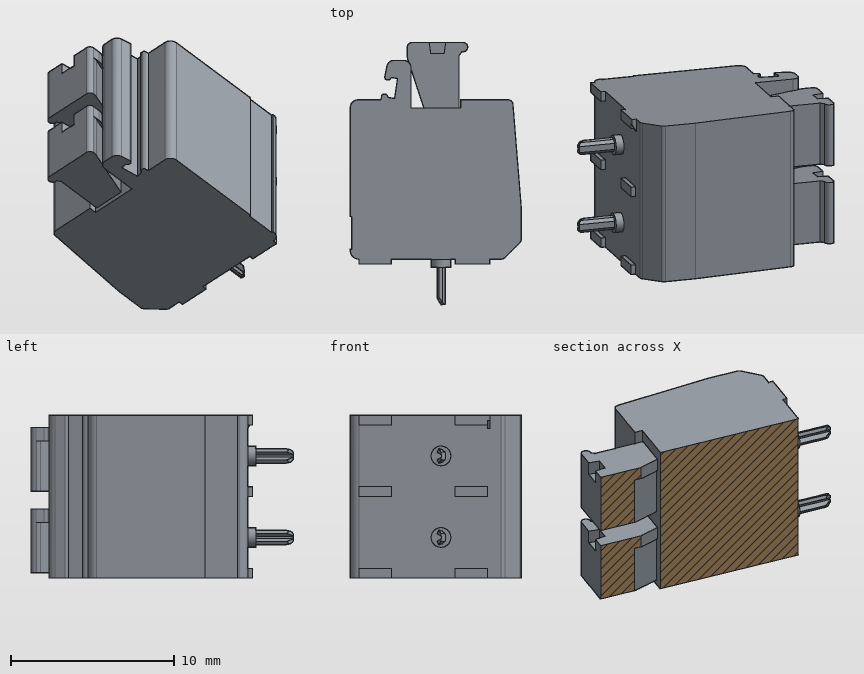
import cadquery as cq
import math


SMALLEST_GAP = 0.0002

POLES = 2
HEIGHT = 10.0
PITCH = HEIGHT / POLES
WIDTH = 10.5
BODY_BACK = 9.79

BACK_LEFT_RADIUS = 0.5
FRONT_LEFT_RADIUS = 0.55
BACK_RIGHT_RADIUS = 0.32
SLOPE_TOP_X = 9.97
SLOPE_BOTTOM_Y = 3.17
CHAMFER = 1.11
CHAMFER_RADIUS = 0.32
RECESS_DEPTH = 0.1
RECESS_START = 0.63
RECESS_END = 2.62
POCKET_LEFT = 3.74
POCKET_RIGHT = 6.78
POCKET_FLOOR = 9.29

HOOK_TOP = 12.2
HOOK_RADIUS = 0.47

FOOT_LENGTH = 2.0
FOOT_DEPTH = 0.29
FOOT_HEIGHT = 0.61
FOOT_STARTS = (0.53, 6.44)
FOOT_LEVELS = (0, PITCH, HEIGHT - FOOT_HEIGHT)
SLIVER_WIDTH = 0.13
SLIVER_HEIGHT = 0.8
SLIVER_FULL_HEIGHT = 0.32

LEVER_BOTTOM = 0.32
LEVER_HEIGHT = 3.93
LEVER_TOP = 13.3
LEVER_LEFT = 3.5
LEVER_RIGHT = 6.68
LEVER_CORNER_RADIUS = 0.3
LEVER_TOE_X = 4.5
LEVER_BEND_Y = 12.36
LEVER_BEND_RADIUS = 0.8
LEVER_STEP_HEIGHT = 0.84
LEVER_LOWER_TOE_X = 4.65
LEVER_LOWER_BEND_Y = 12.83
LIP_RADIUS = 0.29
LIP_END = 7.21
LIP_NECK_X = 6.86
LIP_NECK_DROP = 0.23
NOTCH_LEFT = 4.85
NOTCH_WIDTH = 1.01
NOTCH_DEPTH = 0.68
NOTCH_TAPER = 0.1

PIN_X = 5.57
PIN_LENGTH = 2.8
COLLAR_DIAMETER = 1.2
COLLAR_LENGTH = 0.5
PIN_LEFT = -0.24
PIN_RIGHT = 0.27
PIN_HALF_HEIGHT = 0.45
TIP_SLANT_LENGTH = 0.42
TIP_RIGHT_SETBACK = 0.05
TIP_TAPER_START = 0.47
TIP_TAPER_BREAK = 0.18
TIP_BREAK_HALF_HEIGHT = 0.39
TIP_HALF_HEIGHT = 0.23


def rounded_outline(corners):
    """Closed outline through (x, y, radius) corners; radius 0 keeps a corner sharp."""
    stretches = []
    for i, (x, y, radius) in enumerate(corners):
        here = cq.Vector(x, y)
        if radius == 0:
            stretches.append((here,))
            continue
        before = cq.Vector(*corners[i - 1][:2])
        after = cq.Vector(*corners[(i + 1) % len(corners)][:2])
        back = (before - here).normalized()
        ahead = (after - here).normalized()
        half_angle = back.getAngle(ahead) / 2
        tangent = radius / math.tan(half_angle)
        bulge = radius / math.sin(half_angle) - radius
        middle = here + (back + ahead).normalized() * bulge
        stretches.append((here + back * tangent, middle, here + ahead * tangent))

    reached = stretches[0][0]
    outline = cq.Workplane("XY").moveTo(reached.x, reached.y)
    for stretch in stretches:
        start = stretch[0]
        if (start - reached).Length > SMALLEST_GAP:
            outline = outline.lineTo(start.x, start.y)
        if len(stretch) > 1:
            outline = outline.threePointArc(stretch[1].toTuple()[:2], stretch[2].toTuple()[:2])
        reached = stretch[-1]
    return outline.close()


def make_housing():
    """Body with the open lever pocket and the latch hook, constant along Z."""
    hook = [
        (1.88, BODY_BACK, 0),
        (1.95, 10.13, 0.11),
        (2.24, 10.13, 0.11),
        (2.33, 9.93, 0),
        (2.72, 9.87, 0),
        (2.9, 11.08, 0),
        (2.53, 11.14, 0),
        (2.43, 11.0, 0.08),
        (2.08, 11.0, 0.18),
        (2.32, HOOK_TOP, HOOK_RADIUS),
        (POCKET_LEFT, HOOK_TOP, HOOK_RADIUS),
    ]
    outline = [
        (0, 0, FRONT_LEFT_RADIUS),
        (0, RECESS_START, 0),
        (RECESS_DEPTH, RECESS_START, 0),
        (RECESS_DEPTH, RECESS_END, 0),
        (0, RECESS_END, 0),
        (0, BODY_BACK, BACK_LEFT_RADIUS),
        *hook,
        (POCKET_LEFT, POCKET_FLOOR, 0),
        (POCKET_RIGHT, POCKET_FLOOR, 0),
        (POCKET_RIGHT, BODY_BACK, 0),
        (SLOPE_TOP_X, BODY_BACK, BACK_RIGHT_RADIUS),
        (WIDTH, SLOPE_BOTTOM_Y, 0),
        (WIDTH, CHAMFER, CHAMFER_RADIUS),
        (WIDTH - CHAMFER, 0, CHAMFER_RADIUS),
    ]
    return rounded_outline(outline).extrude(HEIGHT)


def make_feet():
    """Two columns of stand-off feet, the top right one with a tapered sliver at its end."""
    block = cq.Workplane("XY").box(FOOT_LENGTH, FOOT_DEPTH, FOOT_HEIGHT, centered=False)
    feet = [block.translate((x, -FOOT_DEPTH, z)) for x in FOOT_STARTS for z in FOOT_LEVELS]
    sliver = (
        cq.Workplane("YZ", origin=(FOOT_STARTS[-1] + FOOT_LENGTH, 0, HEIGHT))
        .moveTo(0, 0)
        .lineTo(-FOOT_DEPTH, 0)
        .lineTo(-FOOT_DEPTH, -SLIVER_FULL_HEIGHT)
        .lineTo(0, -SLIVER_HEIGHT)
        .close()
        .extrude(SLIVER_WIDTH)
    )
    return feet + [sliver]


def lever_layer(bend_y, toe_x, height):
    """Lever slice whose left side leaves the vertical at bend_y and slants to toe_x."""
    lip_bottom = LEVER_TOP - 2 * LIP_RADIUS
    return rounded_outline([
        (LEVER_LEFT, LEVER_TOP, LEVER_CORNER_RADIUS),
        (LIP_END, LEVER_TOP, LIP_RADIUS),
        (LIP_END, lip_bottom, LIP_RADIUS),
        (LIP_NECK_X, lip_bottom, 0),
        (LEVER_RIGHT, lip_bottom - LIP_NECK_DROP, 0),
        (LEVER_RIGHT, POCKET_FLOOR, 0),
        (toe_x, POCKET_FLOOR, 0),
        (LEVER_LEFT, bend_y, LEVER_BEND_RADIUS),
    ]).extrude(height)


def make_lever():
    """Release lever with a set-back lower layer and a screwdriver notch in its top."""
    lower_height = LEVER_HEIGHT - LEVER_STEP_HEIGHT
    lower = lever_layer(LEVER_LOWER_BEND_Y, LEVER_LOWER_TOE_X, lower_height)
    upper = lever_layer(LEVER_BEND_Y, LEVER_TOE_X, LEVER_STEP_HEIGHT)
    notch = (
        cq.Workplane("XY")
        .moveTo(NOTCH_LEFT, LEVER_TOP)
        .lineTo(NOTCH_LEFT + NOTCH_WIDTH, LEVER_TOP)
        .lineTo(NOTCH_LEFT + NOTCH_WIDTH - NOTCH_TAPER, LEVER_TOP - NOTCH_DEPTH)
        .lineTo(NOTCH_LEFT + NOTCH_TAPER, LEVER_TOP - NOTCH_DEPTH)
        .close()
        .extrude(LEVER_STEP_HEIGHT)
    )
    return lower.union(upper.cut(notch).translate((0, 0, lower_height)))


def make_pin():
    """Round collar and a V-grooved pin pointing to -Y, centred on the Y axis."""
    upper_half = [
        (0.03, 0.06),
        (PIN_LEFT, 0.24),
        (-0.13, PIN_HALF_HEIGHT),
        (0.08, 0.39),
        (PIN_RIGHT, 0.2),
    ]
    lower_half = [(x, -z) for x, z in reversed(upper_half)]
    shank = cq.Workplane("XZ").polyline(upper_half + lower_half).close().extrude(PIN_LENGTH)

    slant = (
        cq.Workplane("XY")
        .polyline([
            (PIN_LEFT, 0),
            (PIN_LEFT, TIP_SLANT_LENGTH - PIN_LENGTH),
            (0, -PIN_LENGTH),
            (PIN_RIGHT, TIP_RIGHT_SETBACK - PIN_LENGTH),
            (PIN_RIGHT, 0),
        ])
        .close()
        .extrude(PIN_HALF_HEIGHT, both=True)
    )
    upper_edge = [
        (0, PIN_HALF_HEIGHT),
        (TIP_TAPER_START - PIN_LENGTH, PIN_HALF_HEIGHT),
        (TIP_TAPER_BREAK - PIN_LENGTH, TIP_BREAK_HALF_HEIGHT),
        (-PIN_LENGTH, TIP_HALF_HEIGHT),
    ]
    lower_edge = [(y, -z) for y, z in reversed(upper_edge)]
    taper = (
        cq.Workplane("YZ")
        .polyline(upper_edge + lower_edge)
        .close()
        .extrude(PIN_RIGHT - PIN_LEFT, both=True)
    )
    collar = cq.Workplane("XZ").circle(COLLAR_DIAMETER / 2).extrude(COLLAR_LENGTH)
    return shank.intersect(slant).intersect(taper).union(collar)


result = make_housing()
for foot in make_feet():
    result = result.union(foot)
for pole in range(POLES):
    base = pole * PITCH
    result = result.union(make_lever().translate((0, 0, base + LEVER_BOTTOM)))
    result = result.union(make_pin().translate((PIN_X, 0, base + PITCH / 2)))